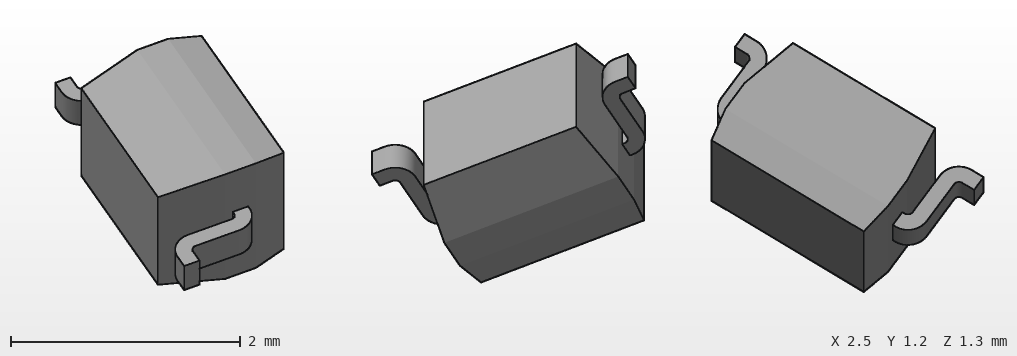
import cadquery as cq
import math

body_length = 1.7
body_height = 1.3
front_depth = 0.6
band_depth = 0.3
back_depth = 0.3
draft_angle = 10.0

overall_length = 2.5
lead_thickness = 0.15
lead_width = 0.3
inner_radius = 0.05
foot_length = 0.125

outer_radius = inner_radius + lead_thickness
band_center_y = front_depth + band_depth / 2


def make_frustum(band_face_y, depth, direction):
    """Frustum narrowing along Y from a face of the band; direction is +1 or -1."""
    inset = depth * math.tan(math.radians(draft_angle))
    return (
        cq.Workplane(cq.Plane((0, band_face_y, 0), (1, 0, 0), (0, direction, 0)))
        .rect(body_length, body_height)
        .workplane(offset=depth)
        .rect(body_length - 2 * inset, body_height - 2 * inset)
        .loft(ruled=True)
    )


def make_body():
    """Moulded body with its front face on Y = 0."""
    band = cq.Workplane("XY").box(body_length, band_depth, body_height)
    band = band.translate((0, band_center_y, 0))
    front = make_frustum(front_depth, front_depth, -1)
    back = make_frustum(front_depth + band_depth, back_depth, 1)
    return band.union(front).union(back)


def make_lead(side):
    """S-shaped lead on the end given by side (+1 or -1), butting on the body."""
    tip_x = overall_length / 2
    foot_end_x = tip_x - foot_length
    shank_inner_x = foot_end_x - outer_radius
    shank_outer_x = shank_inner_x + lead_thickness
    shoulder_x = shank_outer_x - outer_radius
    body_x = body_length / 2
    top_y = band_center_y + lead_thickness / 2
    underside_y = top_y - lead_thickness
    diagonal = math.sqrt(0.5)

    foot_bend_y = outer_radius
    shoulder_bend_y = top_y - outer_radius

    def bend_middle(center_x, center_y, radius, direction):
        offset = direction * radius * diagonal
        return side * (center_x + offset), center_y + offset

    profile = (
        cq.Workplane("XY", origin=(0, 0, -lead_width / 2))
        .moveTo(side * tip_x, 0)
        .lineTo(side * foot_end_x, 0)
        .threePointArc(
            bend_middle(foot_end_x, foot_bend_y, outer_radius, -1),
            (side * shank_inner_x, foot_bend_y),
        )
        .lineTo(side * shank_inner_x, shoulder_bend_y)
        .threePointArc(
            bend_middle(shoulder_x, shoulder_bend_y, inner_radius, 1),
            (side * shoulder_x, underside_y),
        )
        .lineTo(side * body_x, underside_y)
        .lineTo(side * body_x, top_y)
        .lineTo(side * shoulder_x, top_y)
        .threePointArc(
            bend_middle(shoulder_x, shoulder_bend_y, outer_radius, 1),
            (side * shank_outer_x, shoulder_bend_y),
        )
        .lineTo(side * shank_outer_x, foot_bend_y)
        .threePointArc(
            bend_middle(foot_end_x, foot_bend_y, inner_radius, -1),
            (side * foot_end_x, lead_thickness),
        )
        .lineTo(side * tip_x, lead_thickness)
        .close()
    )
    return profile.extrude(lead_width)


body = make_body().solids()
leads = [make_lead(side).val() for side in (-1, 1)]

result = cq.Compound.makeCompound([body.val(), *leads])